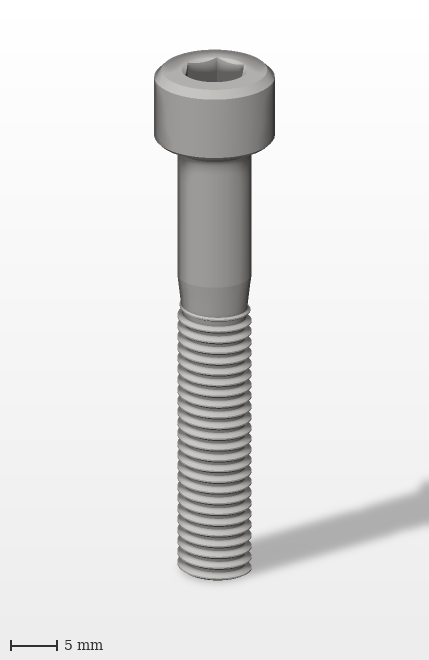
import cadquery as cq
import math

total_length = 58
head_diameter = 13.0
head_height = 8.0
shank_diameter = 8.0

head_radius = head_diameter / 2
shank_radius = shank_diameter / 2
underhead_z = total_length - head_height

top_chamfer = 0.8
bottom_chamfer = 0.4
neck_width = 0.8
neck_height = 1.1
neck_bulge = 0.085

socket_across_flats = 6.1
socket_depth = 4.0
socket_cone_angle = 120
lead_in_depth = 0.3
hexagon_half_angle = 30

pitches_per_shank = 40
pitch = underhead_z / pitches_per_shank
flank_angle = math.radians(30)
sharp_height = pitch / 2 / math.tan(flank_angle)
crest_width = pitch / 8
thread_depth = sharp_height * 5 / 8
core_radius = shank_radius - thread_depth
ridge_overlap = 0.1

full_turns = 23.5
ridge_turns = math.ceil(full_turns) + 1
runout_turns = 1.5
runout_drop = 0.35
ridge_start_angle = 90 + 360 * (ridge_turns - full_turns)

taper_top_z = 34.3
taper_length = 5.8
taper_bottom_z = taper_top_z - taper_length


def make_blank():
    """Revolved head, neck, shank, taper and thread core."""
    neck_top = (shank_radius + neck_width, underhead_z)
    neck_bottom = (shank_radius, underhead_z - neck_height)
    return (
        cq.Workplane("XZ")
        .moveTo(0, 0)
        .lineTo(core_radius, 0)
        .lineTo(core_radius, taper_bottom_z)
        .lineTo(shank_radius, taper_top_z)
        .lineTo(*neck_bottom)
        .sagittaArc(neck_top, neck_bulge)
        .lineTo(head_radius - bottom_chamfer, underhead_z)
        .lineTo(head_radius, underhead_z + bottom_chamfer)
        .lineTo(head_radius, total_length - top_chamfer)
        .lineTo(head_radius - top_chamfer, total_length)
        .lineTo(0, total_length)
        .close()
        .revolve(360, (0, 0, 0), (0, 1, 0))
    )


def make_cone(bottom_radius, top_radius, bottom_z, height):
    """Upright cone or frustum on the Z axis."""
    cone = cq.Solid.makeCone(bottom_radius, top_radius, height, pnt=cq.Vector(0, 0, bottom_z))
    return cq.Workplane(obj=cone)


def make_socket():
    """Hexagon with corners on the Y axis, a conical floor and a conical lead-in."""
    corner_radius = socket_across_flats / 2 / math.cos(math.radians(hexagon_half_angle))
    floor_height = corner_radius / math.tan(math.radians(socket_cone_angle / 2))
    floor_z = total_length - socket_depth
    hexagon = (
        cq.Workplane("XY", origin=(0, 0, floor_z - floor_height))
        .polygon(6, 2 * corner_radius)
        .extrude(socket_depth + floor_height)
        .rotate((0, 0, 0), (0, 0, 1), hexagon_half_angle)
    )
    bore = cq.Workplane("XY", origin=(0, 0, floor_z)).circle(corner_radius).extrude(socket_depth)
    bore = bore.union(make_cone(0, corner_radius, floor_z - floor_height, floor_height))
    lead_in = make_cone(
        socket_across_flats / 2, corner_radius, total_length - lead_in_depth, lead_in_depth
    )
    return hexagon.intersect(bore).union(lead_in)


def make_helix(radius, z, turns, drop):
    """Left-hand helix edge that climbs from z and closes in by drop over its length."""
    height = turns * pitch
    if drop == 0:
        helix = cq.Wire.makeHelix(pitch, height, radius, lefthand=True)
    else:
        slope = math.atan2(drop, height)
        stretch = 1 / math.cos(slope)
        helix = cq.Wire.makeHelix(
            pitch * stretch, height * stretch, radius, angle=-math.degrees(slope), lefthand=True
        )
    return helix.translate(cq.Vector(0, 0, z)).Edges()[0]


def make_flanks(z, turns, drop=0):
    """Crest, flank and root faces of a stretch of ridge, with its two end outlines."""
    root_radius = core_radius - ridge_overlap
    half_crest = crest_width / 2
    half_root = half_crest + (shank_radius - root_radius) * math.tan(flank_angle)
    profile = [
        (root_radius, -half_root),
        (shank_radius, -half_crest),
        (shank_radius, half_crest),
        (root_radius, half_root),
    ]
    helices = [make_helix(radius, z + offset, turns, drop) for radius, offset in profile]
    next_helices = helices[1:] + helices[:1]
    faces = [cq.Face.makeRuledSurface(a, b) for a, b in zip(helices, next_helices)]
    outlines = [
        cq.Wire.makePolygon([helix.positionAt(end) for helix in helices], close=True)
        for end in (0, 1)
    ]
    return faces, outlines


def make_thread():
    """Ridge that starts below the end, climbs at full depth and then sinks into the taper."""
    start_z = (full_turns - ridge_turns) * pitch
    faces = []
    outlines = []
    for turn in range(ridge_turns):
        turn_faces, turn_outlines = make_flanks(start_z + turn * pitch, 1)
        faces += turn_faces
        outlines += turn_outlines
    runout_faces, runout_outlines = make_flanks(full_turns * pitch, runout_turns, runout_drop)
    faces += runout_faces
    outlines += runout_outlines
    caps = [cq.Face.makeFromWires(outline) for outline in (outlines[0], outlines[-1])]
    ridge = cq.Solid.makeSolid(cq.Shell.makeShell(faces + caps)).fix()
    below_end = cq.Workplane("XY").circle(head_diameter).extrude(-ridge_turns * pitch)
    return cq.Workplane(obj=ridge).cut(below_end).rotate((0, 0, 0), (0, 0, 1), ridge_start_angle)


result = make_blank().cut(make_socket()).union(make_thread()).solids()